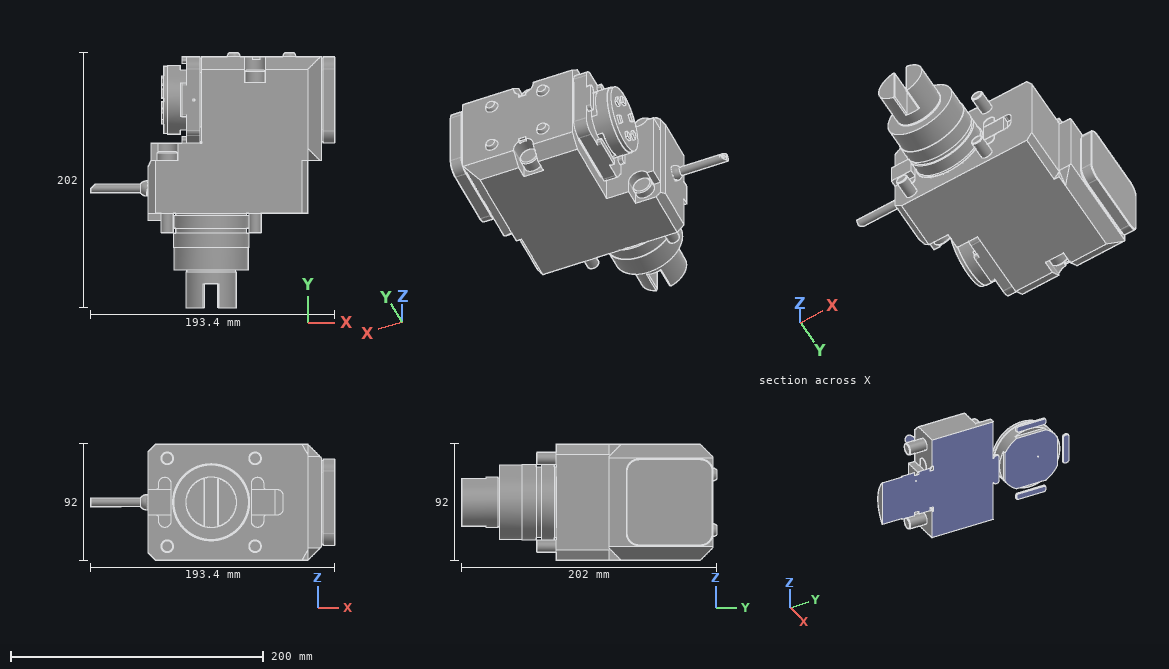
import cadquery as cq

height = 92.0
half_height = height / 2
plate_left = -50.1
plate_right = 76.4
plate_back = 41.8
plate_left_chamfer = 6.0
plate_right_chamfer_x = 4.6
plate_right_chamfer_z = 8.0
plate_rear_bevel_x = 2.5
plate_rear_bevel_y = 5.0

shelf_left = plate_left + plate_rear_bevel_x
shelf_back = 55.5
housing_left = -7.5
housing_right = 87.3
housing_back = 124.0
housing_back_chamfer = 10.1
housing_right_chamfer = housing_right - plate_right
overhang_chamfer = 9.7

pad_center_y = (shelf_back + housing_back) / 2
pad_half = housing_back - pad_center_y
pad_radius = 9.7
pad_gap = 1.2
pad_neck_inset = 1.0
cover_right = 98.0
cover_rim_chamfer = 0.6
flange_left = -19.6
flange_right = housing_left - pad_gap
flange_slant_y = 7.5
flange_slant_z = 11.7
flange_slant_radius = 4.9
pin_hole_x = -13.7
pin_hole_diameter = 1.7
pin_hole_depth = 2.0

disc_diameter = 54.5
disc_face_diameter = 53.4
disc_left = -37.5
disc_rim = 3.2
disc_notch_right = -24.5
disc_notch_radius = 23.8
tab_left = -23.2
tab_depth = 5.5
tab_half_length = 13.3
tab_corner_radius = 1.6
side_tab_corner_radius = 2.5
tooth_count = 6
tooth_inner_radius = 13.5
tooth_outer_radius = 18.8
tooth_inner_width = 5.5
tooth_outer_width = 6.9
tooth_height = 1.8
tooth_first_angle = 16.6

screw_offset = 34.8
screw_diameter = 10.0
screw_tip_y = -15.5
screw_tip_chamfer = 0.6
head_diameter = 16.0
head_height = 10.0
head_chamfer = 1.0
bore_diameter = 16.8
left_head_top = 49.0
right_bore_floor = 103.5
shelf_floor_z = 30.7
bore_notch_width = 5.9
bore_notch_depth = 2.5
bore_notch_height = 4.0
bore_notch_x = 35.8

button_center_x = 39.8
button_half_pitch = 22.0
button_diameter = 10.5
button_top_diameter = 7.0
button_bulge_radius = 4.75
button_height = 3.2

spindle_tip = -74.8
collar_back_end = -1.5
collar_groove_start = -11.7
collar_middle_start = -15.5
collar_front_start = -26.9
collar_end = -44.9
shaft_neck_end = -46.0
collar_groove_diameter = 56.2
collar_back_diameter = 59.6
collar_middle_diameter = 60.0
collar_front_diameter = 59.0
shaft_diameter = 40.0
shaft_neck_diameter = 38.8
shaft_slot_width = 10.3
shaft_slot_floor = -55.5
shaft_slot_chamfer = 1.2
shaft_slot_mouth_chamfer = 0.6
slot_edge_margin = 0.2

spindle_clearance_diameter = 61.0
spindle_clearance_depth = 1.0

key_half_height = 10.1
key_inner_x = 31.7
key_half_depth = 5.7
right_key_outer_x = 50.3
seat_outer_x = 57.0
seat_radius = 5.0
wing_width = 10.0
wing_half_length = 19.8
wing_depth = 0.5
right_key_setback = 0.2
wing_blend_radius = 2.0

cable_y = 19.8
cable_tip = -95.4
cable_diameter = 7.0
cable_tip_cut = 3.6
core_hole_diameter = 2.0
core_hole_depth = 5.0
gland_diameter = 12.3
gland_center_x = plate_left - 0.8


def box(x_range, y_range, z_range):
    size = [high - low for low, high in (x_range, y_range, z_range)]
    corner = (x_range[0], y_range[0], z_range[0])
    return cq.Workplane("XY").box(*size, centered=False).translate(corner)


def rod_y(x, z, diameter, y_start, y_end):
    """Cylinder along Y."""
    axis = cq.Vector(0, 1, 0)
    solid = cq.Solid.makeCylinder(diameter / 2, y_end - y_start, cq.Vector(x, y_start, z), axis)
    return cq.Workplane(solid)


def rod_x(y, z, diameter, x_start, x_end):
    """Cylinder along X."""
    axis = cq.Vector(1, 0, 0)
    solid = cq.Solid.makeCylinder(diameter / 2, x_end - x_start, cq.Vector(x_start, y, z), axis)
    return cq.Workplane(solid)


def both_halves(shape):
    """The shape joined with its mirror image about Z = 0."""
    return shape.union(shape.mirror("XY"))


def make_plate():
    corner = plate_left_chamfer
    upper_right_z = half_height - plate_right_chamfer_z
    plate = (
        cq.Workplane("XZ")
        .moveTo(plate_left + corner, half_height)
        .lineTo(plate_right - plate_right_chamfer_x, half_height)
        .lineTo(plate_right, upper_right_z)
        .lineTo(plate_right, -upper_right_z)
        .lineTo(plate_right - plate_right_chamfer_x, -half_height)
        .lineTo(plate_left + corner, -half_height)
        .lineTo(plate_left, corner - half_height)
        .lineTo(plate_left, half_height - corner)
        .close()
        .extrude(-plate_back)
    )
    rear_bevel = (
        cq.Workplane("XY")
        .moveTo(plate_left, plate_back)
        .lineTo(plate_left + plate_rear_bevel_x, plate_back)
        .lineTo(plate_left, plate_back - plate_rear_bevel_y)
        .close()
        .extrude(half_height, both=True)
    )
    return plate.cut(rear_bevel)


def make_housing():
    z_range = (-half_height, half_height)
    housing = box((housing_left, housing_right), (plate_back, housing_back), z_range)
    back_edges = housing.faces(">Y").edges("|X")
    housing = back_edges.chamfer(housing_back_chamfer)
    side_cut = (
        cq.Workplane("XZ")
        .moveTo(housing_right, half_height)
        .lineTo(housing_right - housing_right_chamfer, half_height)
        .lineTo(housing_right, half_height - housing_right_chamfer)
        .close()
        .extrude(-housing_back)
    )
    overhang_cut = (
        cq.Workplane("YZ", origin=(plate_right, 0, 0))
        .moveTo(plate_back, half_height)
        .lineTo(plate_back + overhang_chamfer, half_height)
        .lineTo(plate_back, half_height - overhang_chamfer)
        .close()
        .extrude(housing_right - plate_right)
    )
    housing = housing.cut(both_halves(side_cut)).cut(both_halves(overhang_cut))
    shelf = box((shelf_left, housing_left), (plate_back, shelf_back), z_range)
    return housing.union(shelf)


def left_screw_recess():
    """Clears the shelf corner around a screw head down to a flat floor."""
    y_range = (plate_back, shelf_back)
    bore = rod_y(-screw_offset, screw_offset, bore_diameter, *y_range)
    side = box((shelf_left, -screw_offset), y_range, (shelf_floor_z, half_height))
    bore_right = bore_diameter / 2 - screw_offset
    above = box((-screw_offset, bore_right), y_range, (screw_offset, half_height))
    return both_halves(bore.union(side).union(above))


def right_screw_recess():
    """Counterbore from the back face, open to the outside of the housing."""
    y_range = (right_bore_floor, housing_back)
    bore = rod_y(screw_offset, screw_offset, bore_diameter, *y_range)
    bore_x = (screw_offset - bore_diameter / 2, screw_offset + bore_diameter / 2)
    above = box(bore_x, y_range, (screw_offset, half_height))
    notch_x = (bore_notch_x - bore_notch_width / 2, bore_notch_x + bore_notch_width / 2)
    notch_bottom = screw_offset - bore_diameter / 2 - bore_notch_height / 2
    notch = box(
        notch_x,
        (housing_back - bore_notch_depth, housing_back),
        (notch_bottom, notch_bottom + bore_notch_height),
    )
    return both_halves(bore.union(above).union(notch))


def make_screws():
    screws = cq.Workplane()
    heads = ((-screw_offset, left_head_top), (screw_offset, right_bore_floor + head_height))
    for x, head_top in heads:
        for z in (-screw_offset, screw_offset):
            shank = rod_y(x, z, screw_diameter, screw_tip_y, plate_back)
            shank = shank.faces("<Y").chamfer(screw_tip_chamfer)
            head = rod_y(x, z, head_diameter, head_top - head_height, head_top)
            head = head.faces(">Y").chamfer(head_chamfer)
            screws = screws.union(shank).union(head)
    return screws


def pad_block(x_start, x_end, half_size):
    block = cq.Workplane("YZ", origin=(x_start, pad_center_y, 0))
    return block.rect(2 * half_size, 2 * half_size).extrude(x_end - x_start)


def make_right_cover():
    cover_left = housing_right + pad_gap
    cover = pad_block(cover_left, cover_right, pad_half).edges("|X").fillet(pad_radius)
    cover = cover.faces(">X").edges().chamfer(cover_rim_chamfer)
    neck_half = pad_half - pad_neck_inset
    neck = pad_block(housing_right, cover_left, neck_half).edges("|X").fillet(pad_radius)
    return cover.union(neck)


def make_left_flange():
    front = pad_center_y - pad_half
    slant_cut = (
        cq.Workplane("YZ", origin=(flange_left, 0, 0))
        .moveTo(front, pad_half)
        .lineTo(front + flange_slant_y, pad_half)
        .lineTo(front, pad_half - flange_slant_z)
        .close()
        .extrude(flange_right - flange_left)
    )
    flange = pad_block(flange_left, flange_right, pad_half)
    flange = flange.faces(">Y").edges("|X").fillet(pad_radius)
    flange = flange.cut(both_halves(slant_cut))
    for z_side in (1, -1):
        corner = (flange_left, front + flange_slant_y, z_side * pad_half)
        flange = flange.edges(cq.NearestToPointSelector(corner)).edges("|X").fillet(flange_slant_radius)
    pin_hole = cq.Workplane("XY", origin=(pin_hole_x, pad_center_y, pad_half))
    pin_hole = pin_hole.circle(pin_hole_diameter / 2).extrude(-pin_hole_depth)
    neck_half = pad_half - pad_neck_inset
    neck = pad_block(flange_right, housing_left, neck_half).edges("|X").chamfer(flange_slant_z)
    return flange.cut(pin_hole).union(neck)


def around_disc(shape, angle):
    """The shape turned about the disc axis."""
    return shape.rotate((0, pad_center_y, 0), (1, pad_center_y, 0), angle)


def make_tool_disc():
    disc = rod_x(pad_center_y, 0, disc_diameter, disc_left + disc_rim, flange_left)
    rim = rod_x(pad_center_y, 0, disc_face_diameter, disc_left, disc_left + disc_rim)
    disc = disc.union(rim)
    side_y = (pad_center_y - tab_half_length, pad_center_y + tab_half_length)
    notch = box((disc_notch_right, flange_left), side_y, (disc_notch_radius, pad_half))
    tab = box((tab_left, flange_left), side_y, (pad_half - tab_depth, pad_half)).edges("|X")
    end_tab = tab.fillet(tab_corner_radius)
    side_tab = tab.fillet(side_tab_corner_radius)
    for angle in (0, 90, 180, 270):
        disc = disc.cut(around_disc(notch, angle))
    for angle in (0, 180):
        disc = disc.union(around_disc(end_tab, angle))
        disc = disc.union(around_disc(side_tab, angle + 90))

    tooth = (
        cq.Workplane("YZ", origin=(disc_left - tooth_height, pad_center_y, 0))
        .moveTo(-tooth_inner_width / 2, tooth_inner_radius)
        .lineTo(tooth_inner_width / 2, tooth_inner_radius)
        .lineTo(tooth_outer_width / 2, tooth_outer_radius)
        .lineTo(-tooth_outer_width / 2, tooth_outer_radius)
        .close()
        .extrude(tooth_height)
    )
    for index in range(tooth_count):
        angle = tooth_first_angle + index * 360 / tooth_count
        disc = disc.union(around_disc(tooth, -angle))
    return disc


def make_back_buttons():
    button = (
        cq.Workplane("XY")
        .lineTo(button_diameter / 2, 0)
        .threePointArc((button_bulge_radius, button_height / 2), (button_top_diameter / 2, button_height))
        .lineTo(0, button_height)
        .close()
        .revolve(360, (0, 0), (0, 1))
    )
    buttons = cq.Workplane()
    for x_side in (-1, 1):
        for z_side in (-1, 1):
            x = button_center_x + x_side * button_half_pitch
            buttons = buttons.union(button.translate((x, housing_back, z_side * button_half_pitch)))
    return buttons


def make_spindle():
    sections = (
        (collar_groove_diameter, spindle_clearance_depth, collar_back_end),
        (collar_back_diameter, collar_back_end, collar_groove_start),
        (collar_groove_diameter, collar_groove_start, collar_middle_start),
        (collar_middle_diameter, collar_middle_start, collar_front_start),
        (collar_front_diameter, collar_front_start, collar_end),
        (shaft_neck_diameter, collar_end, shaft_neck_end),
    )
    shaft_radius = shaft_diameter / 2
    slot_half = shaft_slot_width / 2
    mouth_half = slot_half + shaft_slot_mouth_chamfer
    mouth_y = spindle_tip + shaft_slot_mouth_chamfer
    slot = (
        cq.Workplane("XY")
        .moveTo(-mouth_half, spindle_tip)
        .lineTo(mouth_half, spindle_tip)
        .lineTo(slot_half, mouth_y)
        .lineTo(slot_half, shaft_slot_floor)
        .lineTo(-slot_half, shaft_slot_floor)
        .lineTo(-slot_half, mouth_y)
        .close()
        .extrude(shaft_radius, both=True)
    )
    spindle = rod_y(0, 0, shaft_diameter, spindle_tip, shaft_neck_end).cut(slot)
    slot_edges = cq.selectors.BoxSelector(
        (-slot_half - slot_edge_margin, spindle_tip, -shaft_radius),
        (slot_half + slot_edge_margin, shaft_slot_floor, shaft_radius),
    )
    spindle = spindle.edges("|Y").edges(slot_edges).chamfer(shaft_slot_chamfer)
    for diameter, back, front in sections:
        spindle = spindle.union(rod_y(0, 0, diameter, front, back))
    return spindle


def key_seat_wings(side):
    """Shallow upright slot behind a key, blended into the key's straight sides."""
    wing_outer_x = key_inner_x + wing_width
    wing_center_x = key_inner_x + wing_width / 2
    upright = (
        cq.Workplane("XZ", origin=(side * wing_center_x, 0, 0))
        .slot2D(2 * wing_half_length, wing_width, 90)
        .extrude(-wing_depth)
    )
    key_x = sorted((side * wing_center_x, side * right_key_outer_x))
    arm = box(key_x, (0, wing_depth), (-key_half_height, key_half_height))
    seat = upright.union(arm)
    for z in (-key_half_height, key_half_height):
        corner = (side * wing_outer_x, wing_depth / 2, z)
        seat = seat.edges(cq.NearestToPointSelector(corner)).fillet(wing_blend_radius)
    return seat


def right_key_seat_end():
    """Round end of the right key seat, left open beyond the key."""
    z_range = (-key_half_height, key_half_height)
    seat = box((right_key_outer_x, seat_outer_x), (0, key_half_depth), z_range)
    return seat.faces(">X").edges("|Y").fillet(seat_radius)


def make_keys():
    z_range = (-key_half_height, key_half_height)
    left_key = box((plate_left, -key_inner_x), (-key_half_depth, key_half_depth), z_range)
    right_key = box((key_inner_x, right_key_outer_x), (right_key_setback, key_half_depth), z_range)
    return left_key.union(right_key)


def make_cable():
    cable = rod_x(cable_y, 0, cable_diameter, cable_tip, plate_left)
    edge_y = cable_y + cable_diameter / 2
    tip_cut = (
        cq.Workplane("XY")
        .moveTo(cable_tip, edge_y)
        .lineTo(cable_tip + cable_tip_cut, edge_y)
        .lineTo(cable_tip, edge_y - cable_tip_cut)
        .close()
        .extrude(cable_diameter, both=True)
    )
    core_y = cable_y + cable_diameter / 4
    core_hole = rod_x(core_y, 0, core_hole_diameter, cable_tip, cable_tip + core_hole_depth)
    gland = cq.Workplane("XY").sphere(gland_diameter / 2).translate((gland_center_x, cable_y, 0))
    return cable.cut(tip_cut).cut(core_hole).union(gland)


result = (
    make_plate()
    .cut(rod_y(0, 0, spindle_clearance_diameter, 0, spindle_clearance_depth))
    .cut(key_seat_wings(-1))
    .cut(key_seat_wings(1))
    .cut(right_key_seat_end())
    .union(make_keys())
    .union(make_housing().cut(left_screw_recess()).cut(right_screw_recess()))
    .union(make_screws())
    .union(make_right_cover())
    .union(make_left_flange())
    .union(make_tool_disc())
    .union(make_back_buttons())
    .union(make_spindle())
    .union(make_cable())
)